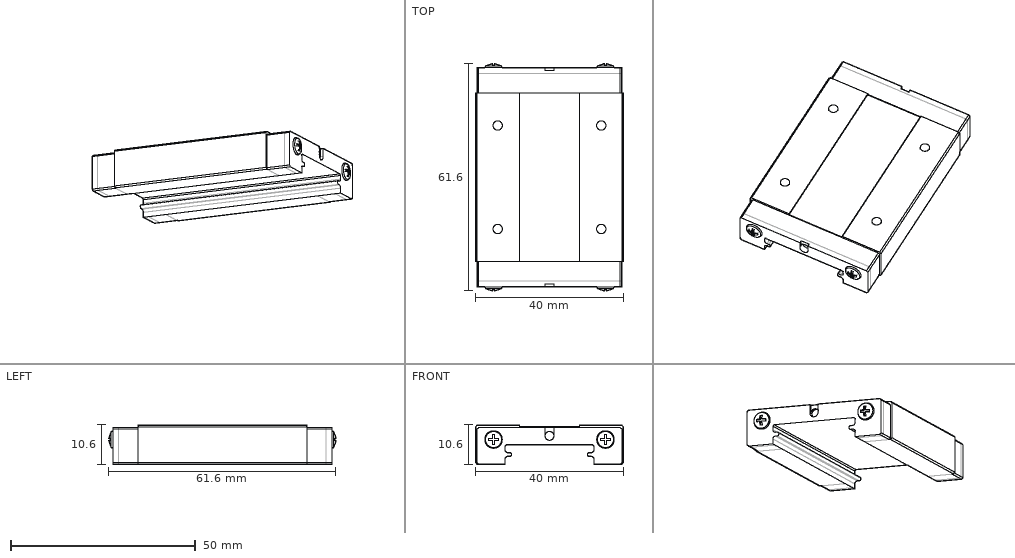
import cadquery as cq
import math

OVERALL_LENGTH = 61.6
BLOCK_WIDTH = 40.0
BLOCK_LENGTH = 45.7
BLOCK_HEIGHT = 10.6
CAP_WIDTH = 39.15
CAP_HEIGHT = 10.0
SEAL_THICKNESS = 1.6
EDGE_CHAMFER = 0.45

RELIEF_WIDTH = 16.2
RELIEF_DEPTH = 0.4

CHANNEL_WIDTH = 24.0
CHANNEL_HEIGHT = 5.3
CHANNEL_CORNER_CHAMFER = 0.4
LIP_Z = 2.65
LIP_THICKNESS = 1.05
LIP_REACH = 1.8
LIP_ROOT_RADIUS = 0.75

MOUNT_SPACING = 28.0
MOUNT_DIAMETER = 2.5
MOUNT_DEPTH = 3.7
DRILL_POINT_ANGLE = 118.0

PORT_DIAMETER = 2.4
PORT_Z = 7.7
PORT_DEPTH = SEAL_THICKNESS
PORT_SLOT_DEPTH = 0.75

SCREW_SPACING = 30.3
SCREW_Z = 6.7
SCREW_BASE_DIAMETER = 4.75
SCREW_RIM_DIAMETER = 4.4
SCREW_HEIGHT = 1.1
SCREW_RIM = 0.45
CROSS_LENGTH = 2.65
CROSS_WIDTH = 0.6
CROSS_DEPTH = 0.8

HALF_BODY = OVERALL_LENGTH / 2 - SCREW_HEIGHT
HALF_BLOCK = BLOCK_LENGTH / 2
SEAL_START = HALF_BODY - SEAL_THICKNESS


def chamfered_bar(width, height, y_start, y_end):
    """Bar along Y, standing on Z = 0, with its four long edges chamfered."""
    bar = cq.Workplane("XY").box(width, y_end - y_start, height, centered=(True, False, False))
    return bar.edges("|Y").chamfer(EDGE_CHAMFER).translate((0, y_start, 0))


def make_body():
    body = chamfered_bar(BLOCK_WIDTH, BLOCK_HEIGHT, -HALF_BLOCK, HALF_BLOCK)
    relief = cq.Workplane("XY").box(RELIEF_WIDTH, BLOCK_LENGTH, 2 * RELIEF_DEPTH)
    body = body.cut(relief.translate((0, 0, BLOCK_HEIGHT)))
    end_sections = (
        (-HALF_BODY, -SEAL_START),
        (-SEAL_START, -HALF_BLOCK),
        (HALF_BLOCK, SEAL_START),
        (SEAL_START, HALF_BODY),
    )
    for y_start, y_end in end_sections:
        body = body.union(chamfered_bar(CAP_WIDTH, CAP_HEIGHT, y_start, y_end), clean=False)
    return body


def make_lip(side):
    """Rounded lip with concave root fillets on the channel wall at X = side * CHANNEL_WIDTH / 2."""
    half = LIP_THICKNESS / 2
    root = LIP_ROOT_RADIUS
    arc_mid = root * (1 - math.sqrt(0.5))
    wall = CHANNEL_WIDTH / 2

    def at(reach, rise):
        return side * (wall - reach), LIP_Z + rise

    return (
        cq.Workplane("XZ", origin=(0, HALF_BODY, 0))
        .moveTo(*at(0, half + root))
        .threePointArc(at(arc_mid, half + arc_mid), at(root, half))
        .lineTo(*at(LIP_REACH - half, half))
        .threePointArc(at(LIP_REACH, 0), at(LIP_REACH - half, -half))
        .lineTo(*at(root, -half))
        .threePointArc(at(arc_mid, -half - arc_mid), at(0, -half - root))
        .close()
        .extrude(2 * HALF_BODY)
    )


def make_channel():
    channel = (
        cq.Workplane("XY")
        .box(CHANNEL_WIDTH, 2 * HALF_BODY, CHANNEL_HEIGHT, centered=(True, True, False))
        .edges("|Y and >Z")
        .chamfer(CHANNEL_CORNER_CHAMFER)
    )
    for side in (-1, 1):
        channel = channel.cut(make_lip(side))
    return channel


def make_mount_holes():
    radius = MOUNT_DIAMETER / 2
    point_depth = radius / math.tan(math.radians(DRILL_POINT_ANGLE / 2))
    drill = (
        cq.Workplane("XZ")
        .polyline([(0, 0), (radius, 0), (radius, -MOUNT_DEPTH), (0, -MOUNT_DEPTH - point_depth)])
        .close()
        .revolve(360, (0, 0, 0), (0, 1, 0))
    )
    spots = (
        cq.Workplane("XY", origin=(0, 0, BLOCK_HEIGHT))
        .rect(MOUNT_SPACING, MOUNT_SPACING, forConstruction=True)
        .vertices()
    )
    return spots.eachpoint(lambda spot: drill.val().moved(spot))


def make_port():
    """Round port in the front end face, joined to the top face by a shallow slot."""
    face = cq.Workplane("XZ", origin=(0, -HALF_BODY, PORT_Z))
    slot_height = CAP_HEIGHT - PORT_Z
    slot = face.center(0, slot_height / 2).rect(PORT_DIAMETER, slot_height).extrude(-PORT_SLOT_DEPTH)
    return face.circle(PORT_DIAMETER / 2).extrude(-PORT_DEPTH).union(slot)


def make_screw_head():
    """Low conical head on the front end face, pointing towards -Y, centred on X = 0."""
    base_radius = SCREW_BASE_DIAMETER / 2
    rim_radius = SCREW_RIM_DIAMETER / 2
    corner = CROSS_WIDTH / math.sqrt(2)
    slope = (SCREW_HEIGHT - SCREW_RIM) / (rim_radius - corner)
    apex = SCREW_RIM + slope * rim_radius
    head = (
        cq.Workplane("XY")
        .polyline([(0, 0), (base_radius, 0), (rim_radius, -SCREW_RIM), (0, -apex)])
        .close()
        .revolve(360, (0, 0, 0), (0, 1, 0))
    )
    for length_x, length_z in ((CROSS_LENGTH, CROSS_WIDTH), (CROSS_WIDTH, CROSS_LENGTH)):
        arm = cq.Workplane("XY").box(length_x, 2 * CROSS_DEPTH, length_z)
        head = head.cut(arm.translate((0, -SCREW_HEIGHT, 0)))
    return head.translate((0, -HALF_BODY, SCREW_Z))


result = make_body().cut(make_channel(), clean=False).cut(make_mount_holes(), clean=False)

port = make_port()
screw_head = make_screw_head()
for end_angle in (0, 180):
    result = result.cut(port.rotate((0, 0, 0), (0, 0, 1), end_angle), clean=False)
    for side in (-1, 1):
        head = screw_head.translate((side * SCREW_SPACING / 2, 0, 0))
        result = result.union(head.rotate((0, 0, 0), (0, 0, 1), end_angle), clean=False)